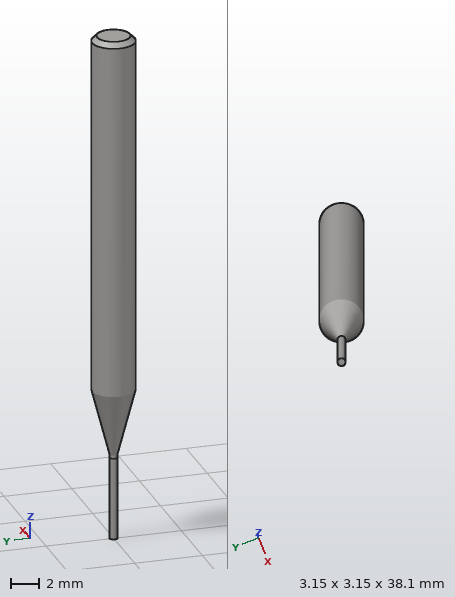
import cadquery as cq

total_length = 38.1
shank_diameter = 3.15
chamfer_size = 0.4
cutter_diameter = 0.57
cutter_length = 6.15
neck_length = 0.23
taper_length = 4.95

shank_radius = shank_diameter / 2
cutter_radius = cutter_diameter / 2
taper_bottom = cutter_length + neck_length
taper_top = taper_bottom + taper_length


def make_shank():
    """Chamfered round shank, tapering to a short neck as wide as the cutter."""
    return (
        cq.Workplane("XZ")
        .moveTo(0, cutter_length)
        .lineTo(cutter_radius, cutter_length)
        .lineTo(cutter_radius, taper_bottom)
        .lineTo(shank_radius, taper_top)
        .lineTo(shank_radius, total_length - chamfer_size)
        .lineTo(shank_radius - chamfer_size, total_length)
        .lineTo(0, total_length)
        .close()
        .revolve(360, (0, 0, 0), (0, 1, 0))
    )


def make_cutter():
    """Plain round cutter that meets the end face of the neck."""
    return cq.Workplane("XY").circle(cutter_radius).extrude(cutter_length)


shank = make_shank()
cutter = make_cutter()

result = cq.Compound.makeCompound([shank.val(), cutter.val()])